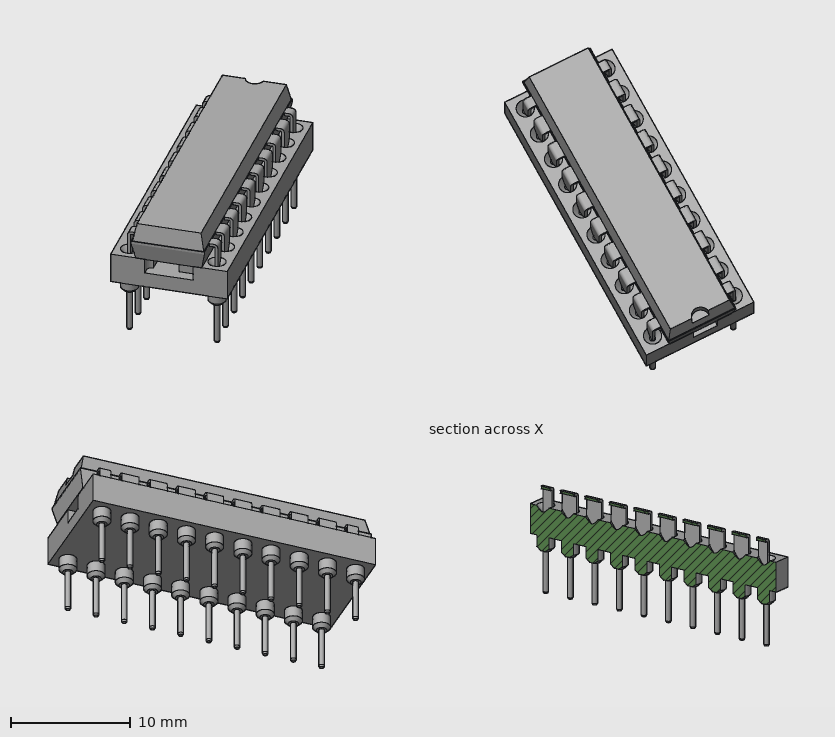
import cadquery as cq
import math

pins_per_row = 10
row_spacing = 7.6
pitch = row_spacing / 3
row_xs = [-row_spacing / 2, row_spacing / 2]
pin_ys = [(i - (pins_per_row - 1) / 2) * pitch for i in range(pins_per_row)]
pin_places = [(x, y) for x in row_xs for y in pin_ys]

socket_width = 10.15
socket_length = 25.43
socket_height = 2.67
socket_end = socket_length / 2

collar_diameter = 1.52
collar_length = 1.3
collar_chamfer = 0.31
pin_diameter = 0.5
pin_tip_diameter = 0.35
pin_tip_length = 0.15
pin_reach = 5.08

flange_diameter = 1.73
flange_height = 0.25
funnel_mouth_diameter = collar_diameter
funnel_floor_diameter = pin_diameter
funnel_depth = 0.68
funnel_floor_z = socket_height - funnel_depth

channel_depth = socket_height / 2
recess_width = 4.2
recess_length = 1.0
recess_corner_radius = 0.47
channel_left = -recess_width / 2 + recess_corner_radius
channel_right = 0.6

chip_length = 26.15
chip_width = 6.38
chip_height = 3.32
chip_bottom_z = socket_height
lower_height = 1.52
lead_thickness = 0.25
belt_height = lead_thickness
upper_height = chip_height - lower_height - belt_height
ledge = 0.08
draft_angle = 12.0
belt_z = chip_bottom_z + lower_height
belt_top_z = belt_z + belt_height
chip_top_z = chip_bottom_z + chip_height

notch_radius = 0.78
notch_depth = 0.73
notch_setback = 0.25
notch_center_y = chip_length / 2 - notch_setback

lead_half_width = 0.75
lead_short_half_width = 0.2
lead_outer_radius = 0.35
lead_inner_radius = lead_outer_radius - lead_thickness
lead_outer_x = row_spacing / 2 + lead_thickness / 2
lead_inner_x = lead_outer_x - lead_thickness
lead_embedment = 0.25
lead_root_x = chip_width / 2 - lead_embedment


def box(x_range, y_range, z_range):
    """Box between the given limits."""
    size = [high - low for low, high in (x_range, y_range, z_range)]
    corner = (x_range[0], y_range[0], z_range[0])
    return cq.Workplane("XY").box(*size, centered=False).translate(corner)


def turned(profile, place):
    """Revolve an (r, z) profile about a vertical axis standing at place."""
    solid = cq.Workplane("XZ").polyline(profile).close().revolve(360, (0, 0), (0, 1))
    return solid.translate((place[0], place[1], 0))


def funnel(place):
    """Tapered space inside one contact."""
    return turned(
        [
            (0, funnel_floor_z),
            (funnel_floor_diameter / 2, funnel_floor_z),
            (funnel_mouth_diameter / 2, socket_height),
            (0, socket_height),
        ],
        place,
    )


def contact(place):
    """Contact with its flange set in the socket and its collar and pin hanging below."""
    flange_radius = flange_diameter / 2
    collar_radius = collar_diameter / 2
    pin_radius = pin_diameter / 2
    return turned(
        [
            (0, socket_height),
            (flange_radius, socket_height),
            (flange_radius, socket_height - flange_height),
            (collar_radius, socket_height - flange_height),
            (collar_radius, collar_chamfer - collar_length),
            (collar_radius - collar_chamfer, -collar_length),
            (pin_radius, -collar_length),
            (pin_radius, pin_tip_length - pin_reach),
            (pin_tip_diameter / 2, -pin_reach),
            (0, -pin_reach),
        ],
        place,
    )


def socket_channel():
    """Channel along the top, wider with two rounded corners at the -Y end."""
    z_range = (socket_height - channel_depth, socket_height)
    recess_end = recess_length - socket_end
    channel = box((channel_left, channel_right), (-socket_end, socket_end), z_range)
    recess = box((-recess_width / 2, recess_width / 2), (-socket_end, recess_end), z_range)
    recess = recess.edges("|Z and >Y").fillet(recess_corner_radius)
    return channel.union(recess)


def make_socket():
    body = box(
        (-socket_width / 2, socket_width / 2),
        (-socket_end, socket_end),
        (0, socket_height),
    )
    body = body.cut(socket_channel())
    contacts = cq.Compound.makeCompound([contact(place).val() for place in pin_places])
    funnels = cq.Compound.makeCompound([funnel(place).val() for place in pin_places])
    return body.union(contacts, clean=False).cut(funnels, clean=False)


def tapered_half(length, width, z, height):
    """Half of the chip body; narrows away from z, downward when height is negative."""
    inset = abs(height) * math.tan(math.radians(draft_angle))
    return (
        cq.Workplane("XY", origin=(0, 0, z))
        .rect(width, length)
        .workplane(offset=height)
        .rect(width - 2 * inset, length - 2 * inset)
        .loft(ruled=True)
    )


def chip_body():
    lower = tapered_half(chip_length, chip_width, belt_z, -lower_height)
    upper = tapered_half(chip_length - 2 * ledge, chip_width - 2 * ledge, belt_top_z, upper_height)
    belt = box(
        (-chip_width / 2, chip_width / 2),
        (-chip_length / 2, chip_length / 2),
        (belt_z, belt_top_z),
    )
    notch = (
        cq.Workplane("XY", origin=(0, notch_center_y, chip_top_z - notch_depth))
        .circle(notch_radius)
        .extrude(notch_depth)
    )
    return lower.union(belt).union(upper).cut(notch)


def lead(side, y, y_low, y_high):
    """Bent lead; side is -1 or 1, y_low and y_high are its edges about y."""
    outline = (
        cq.Workplane("XZ")
        .moveTo(lead_root_x, belt_top_z)
        .lineTo(lead_outer_x - lead_outer_radius, belt_top_z)
        .radiusArc((lead_outer_x, belt_top_z - lead_outer_radius), lead_outer_radius)
        .lineTo(lead_outer_x, chip_bottom_z)
        .lineTo(lead_inner_x, chip_bottom_z)
        .lineTo(lead_inner_x, belt_z - lead_inner_radius)
        .radiusArc((lead_inner_x - lead_inner_radius, belt_z), -lead_inner_radius)
        .lineTo(lead_root_x, belt_z)
        .close()
    )
    bent = outline.extrude(y_low - y_high).translate((0, y + y_low, 0))
    tip = box(
        (lead_inner_x, lead_outer_x),
        (y + y_low, y + y_high),
        (funnel_floor_z, socket_height),
    ).intersect(funnel((row_spacing / 2, y)))
    whole = bent.union(tip)
    return whole if side > 0 else whole.mirror("YZ")


def make_chip():
    leads = []
    for y in pin_ys:
        y_low = -lead_short_half_width if y == pin_ys[0] else -lead_half_width
        y_high = lead_short_half_width if y == pin_ys[-1] else lead_half_width
        for side in (-1, 1):
            leads.append(lead(side, y, y_low, y_high).val())
    return chip_body().union(cq.Compound.makeCompound(leads))


socket = make_socket()
chip = make_chip()
result = cq.Compound.makeCompound([socket.solids().val(), chip.solids().val()])